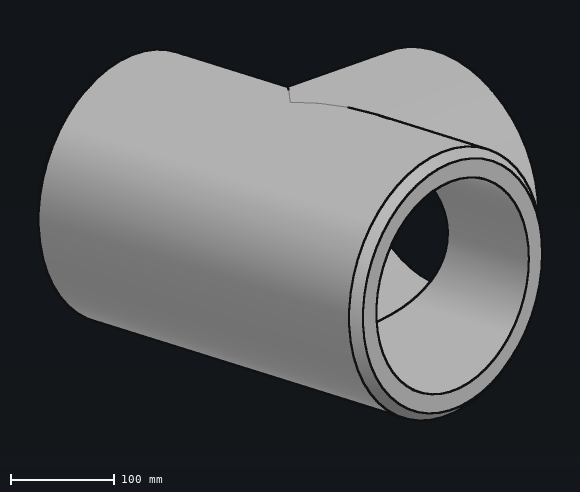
import cadquery as cq

outer_diameter = 273.05
wall_thickness = 28.575
center_to_end = 215.9
end_bevel = wall_thickness / 3

outer_radius = outer_diameter / 2
bore_radius = outer_radius - wall_thickness


def run_cylinder(radius):
    """Cylinder along X, spanning both ends of the run."""
    return cq.Workplane("YZ").circle(radius).extrude(center_to_end, both=True)


def branch_cylinder(radius):
    """Cylinder along +Y, from the run axis to the branch end."""
    return cq.Workplane("XZ").circle(radius).extrude(-center_to_end)


def make_body():
    """Solid outer shape, with the outer edge of each of the three ends beveled."""
    run = run_cylinder(outer_radius).faces("<X or >X").edges().chamfer(end_bevel)
    branch = branch_cylinder(outer_radius).faces(">Y").edges().chamfer(end_bevel)
    return run.union(branch)


def make_bores():
    """Run bore and branch bore, joined at the center of the tee."""
    return run_cylinder(bore_radius).union(branch_cylinder(bore_radius))


result = make_body().cut(make_bores())